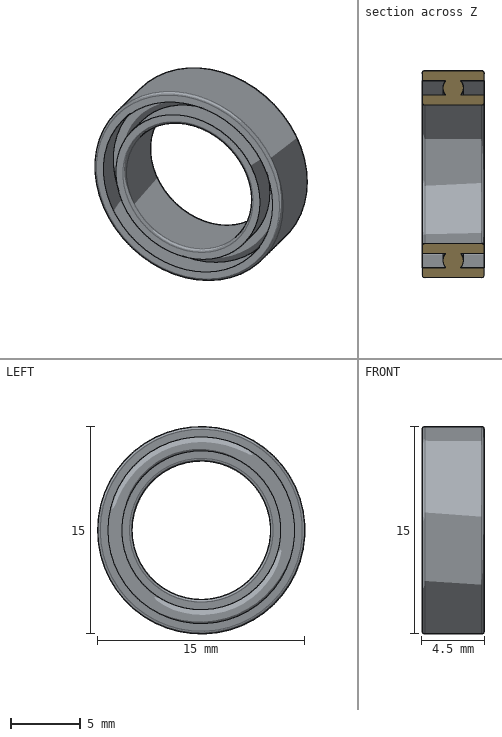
import cadquery as cq
import math

outer_diameter = 15.0
bore_diameter = outer_diameter * 2 / 3
width = 4.5
edge_fillet = 0.2

groove_outer_radius = 6.75
groove_width = 1.0
floor_radius = 0.75

outer_radius = outer_diameter / 2
bore_radius = bore_diameter / 2
half_width = width / 2
groove_inner_radius = groove_outer_radius - groove_width
groove_middle_radius = groove_outer_radius - groove_width / 2
floor_edge_x = math.sqrt(floor_radius**2 - (groove_width / 2) ** 2)


def make_ring():
    """Plain ring centred on the origin, with its four circular edges rounded."""
    ring = (
        cq.Workplane("YZ", origin=(-half_width, 0, 0))
        .circle(outer_radius)
        .circle(bore_radius)
        .extrude(width)
    )
    return ring.faces("<X or >X").edges().fillet(edge_fillet)


def make_groove():
    """Groove on the +X end; its floor is a convex arc between two straight walls."""
    profile = (
        cq.Workplane("XY")
        .moveTo(half_width, groove_inner_radius)
        .lineTo(floor_edge_x, groove_inner_radius)
        .threePointArc((floor_radius, groove_middle_radius), (floor_edge_x, groove_outer_radius))
        .lineTo(half_width, groove_outer_radius)
        .close()
    )
    return profile.revolve(360, (0, 0, 0), (1, 0, 0))


groove = make_groove()
result = make_ring().cut(groove).cut(groove.mirror("YZ"))